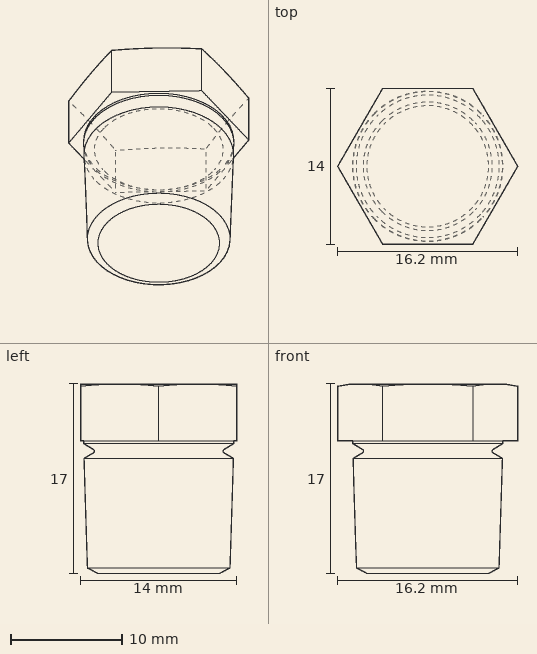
import cadquery as cq
import math

total_height = 17.0
hex_across_flats = 14.0
head_height = 5.1
head_chamfer_angle = math.radians(10)

collar_radius = 6.75
neck_radius = 5.78
thread_top_radius = 6.72
thread_bottom_radius = 6.41
tip_radius = 5.45

head_bottom = total_height - head_height
collar_bottom = 11.66
groove_middle = 10.98
thread_top = 10.34
thread_bottom = 0.5

groove_floor_radius = 0.17
groove_side_slope = math.radians(30)

hex_across_corners = hex_across_flats / math.cos(math.radians(30))
flat_radius = hex_across_flats / 2
corner_radius = hex_across_corners / 2


def make_head():
    """Hexagonal head with its upper corners turned to a shallow cone."""
    prism = (
        cq.Workplane("XY")
        .workplane(offset=head_bottom)
        .polygon(6, hex_across_corners)
        .extrude(head_height)
    )
    corner_drop = (corner_radius - flat_radius) * math.tan(head_chamfer_angle)
    envelope = (
        cq.Workplane("XZ")
        .moveTo(0, head_bottom)
        .lineTo(corner_radius, head_bottom)
        .lineTo(corner_radius, total_height - corner_drop)
        .lineTo(flat_radius, total_height)
        .lineTo(0, total_height)
        .close()
        .revolve(360, (0, 0, 0), (0, 1, 0))
    )
    return prism.intersect(envelope)


def make_shank():
    """Tapered shank with a chamfered tip and a relief groove under the collar."""
    floor_half_width = groove_floor_radius * math.cos(groove_side_slope)
    floor_edge_radius = neck_radius + groove_floor_radius * (1 - math.sin(groove_side_slope))
    return (
        cq.Workplane("XZ")
        .lineTo(tip_radius, 0)
        .lineTo(thread_bottom_radius, thread_bottom)
        .lineTo(thread_top_radius, thread_top)
        .lineTo(floor_edge_radius, groove_middle - floor_half_width)
        .threePointArc(
            (neck_radius, groove_middle),
            (floor_edge_radius, groove_middle + floor_half_width),
        )
        .lineTo(collar_radius, collar_bottom)
        .lineTo(collar_radius, head_bottom)
        .lineTo(0, head_bottom)
        .close()
        .revolve(360, (0, 0, 0), (0, 1, 0))
    )


result = make_head().union(make_shank())